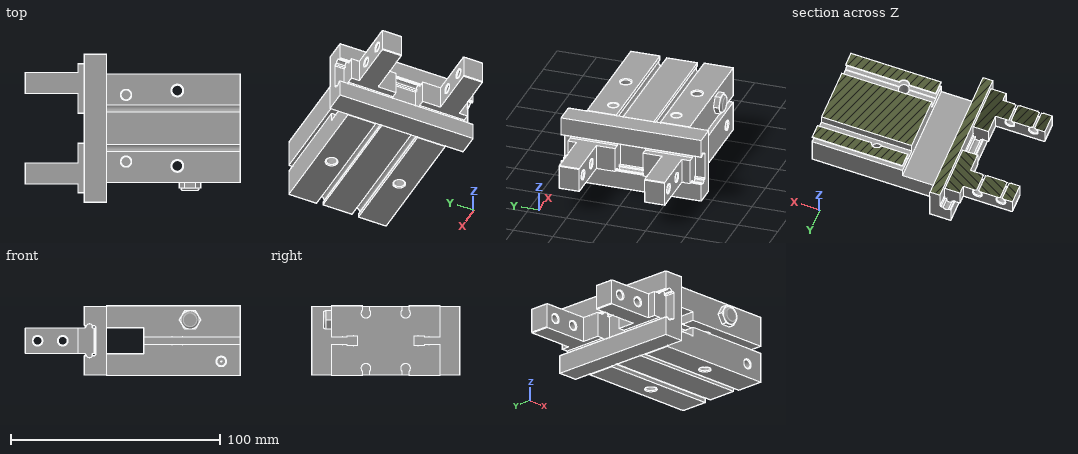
import cadquery as cq
import math


total_length = 103.0
flange_front = 25.2
rail_front = 28.2
body_front = 39.0
body_length = total_length - body_front

rail_width = 71.0
rail_height = 32.9
channel_height = 14.2
channel_end = 33.8
channel_corner_chamfer = 0.5
channel_lip_chamfer = 0.3

bead_x = 30.8
bead_z = 6.7
bead_radius = 1.4
bead_contact_z = channel_height / 2
bead_contact_x = bead_x - math.sqrt(bead_radius**2 - (bead_contact_z - bead_z) ** 2)

body_width = 51.9
body_height = 33.5
window_end = 56.6
window_height = 12.4
side_slot_height = 3.6
side_slot_depth = 12.4
side_slot_lip = 7.3
side_slot_inner_height = 4.6
strip_drop = 0.4

groove_y = 9.5
groove_neck = 3.4
groove_radius = 2.3
groove_center_depth = 3.6

mount_hole_x = 72.8
mount_hole_y = 18.0
mount_hole_diameter = 5.2
mount_hole_rim = 6.1
dowel_x = 48.3
dowel_y = 16.0
dowel_rim = 5.4
dowel_recess_depth = 0.3
port_x = 93.8
port_z = -9.9
thread_diameter = 4.2
thread_rim = 5.0
port_depth = 8.2
fine_bore_diameter = 0.5
fine_bore_depth = 2.1

plug_x = 78.9
plug_z = 10.0
plug_across_flats = 9.0
plug_hex_height = 2.7
plug_cap_diameter = 8.8
plug_cap_height = 1.2
plug_cap_round = 1.1

finger_pitch = 43.3
finger_width = 10.1
finger_height = 12.4
finger_chamfer = 0.3
finger_end = 33.2
flange_outer = 30.9
flange_inner = 7.1
bead_ramp_x = 28.5
bead_back_x = bead_x + bead_radius
finger_hole_stations = (6.0, 18.0)


def block(x_start, x_end, width, height):
    """Box between two X stations, centred on Y = 0 and Z = 0."""
    return cq.Workplane("XY").box(x_end - x_start, width, height).translate(((x_start + x_end) / 2, 0, 0))


def countersunk_cutter(diameter, rim_diameter, depth):
    """Hole cutter that starts at Z = 0, goes down to -depth and has a 45 degree rim."""
    rim_depth = (rim_diameter - diameter) / 2
    outline = [(0, 0), (rim_diameter / 2, 0), (diameter / 2, -rim_depth), (diameter / 2, -depth), (0, -depth)]
    return (
        cq.Workplane("XZ")
        .polyline(outline)
        .close()
        .revolve(360, (0, 0), (0, 1))
    )


def through_hole_cutter(diameter, rim_diameter, length):
    """Hole cutter along Z, centred on Z = 0, with a 45 degree rim at both ends."""
    upper = countersunk_cutter(diameter, rim_diameter, length / 2).translate((0, 0, length / 2))
    return upper.union(upper.mirror("XY"))


def make_rail():
    """Guide rail with the channel and the two bead grooves."""
    rail = block(rail_front, body_front, rail_width, rail_height)
    half_height = channel_height / 2
    half_channel = (
        cq.Workplane("XZ")
        .moveTo(rail_front, 0)
        .lineTo(rail_front, half_height + channel_lip_chamfer)
        .lineTo(rail_front + channel_lip_chamfer, half_height)
        .lineTo(channel_end - channel_corner_chamfer, half_height)
        .lineTo(channel_end, half_height - channel_corner_chamfer)
        .lineTo(channel_end, 0)
        .close()
        .extrude(rail_width / 2, both=True)
    )
    channel = half_channel.union(half_channel.mirror("XY"))
    rail = rail.cut(channel)
    for side in (-1, 1):
        groove = (
            cq.Workplane("XZ")
            .center(bead_x, side * bead_z)
            .circle(bead_radius)
            .extrude(rail_width / 2, both=True)
        )
        rail = rail.cut(groove)
    return rail


def make_sensor_groove():
    """Cutter for one sensor groove in the top face, centred on Y = 0."""
    top = body_height / 2
    neck = block(body_front, total_length, groove_neck, groove_center_depth)
    neck = neck.translate((0, 0, top - groove_center_depth / 2))
    channel = (
        cq.Workplane("YZ", origin=(body_front, 0, top - groove_center_depth))
        .circle(groove_radius)
        .extrude(body_length)
    )
    return neck.union(channel)


def make_port():
    """Cutter for the port in the -Y side, with a fine bore in its flat bottom."""
    fine_bore = cq.Workplane("XY").circle(fine_bore_diameter / 2).extrude(-port_depth - fine_bore_depth)
    cutter = countersunk_cutter(thread_diameter, thread_rim, port_depth).union(fine_bore)
    return cutter.rotate((0, 0, 0), (1, 0, 0), 90).translate((port_x, -body_width / 2, port_z))


def make_plug():
    """Hexagonal plug with a rounded cap on the -Y side."""
    corner_diameter = plug_across_flats / math.cos(math.pi / 6)
    return (
        cq.Workplane("XZ", origin=(plug_x, -body_width / 2, plug_z))
        .polygon(6, corner_diameter)
        .extrude(plug_hex_height)
        .faces("<Y")
        .workplane(centerOption="CenterOfBoundBox")
        .circle(plug_cap_diameter / 2)
        .extrude(plug_cap_height)
        .faces("<Y")
        .edges()
        .fillet(plug_cap_round)
    )


def make_body():
    """Cylinder body behind the rail."""
    body = block(body_front, total_length, body_width, body_height)

    relief = block(body_front, total_length, 2 * groove_y, strip_drop)
    groove = make_sensor_groove()
    for side in (-1, 1):
        body = body.cut(relief.translate((0, 0, side * (body_height - strip_drop) / 2)))
        upper_groove = groove.translate((0, side * groove_y, 0))
        body = body.cut(upper_groove).cut(upper_groove.mirror("XY"))

    body = body.cut(block(body_front, window_end, body_width, window_height))
    inner_depth = side_slot_depth - side_slot_lip
    mouth = block(window_end, total_length, side_slot_lip, side_slot_height)
    inner = block(window_end, total_length, inner_depth, side_slot_inner_height)
    mouth_y = (body_width - side_slot_lip) / 2
    inner_y = (body_width - inner_depth) / 2 - side_slot_lip
    for side in (-1, 1):
        body = body.cut(mouth.translate((0, side * mouth_y, 0)))
        body = body.cut(inner.translate((0, side * inner_y, 0)))

    mount_hole = through_hole_cutter(mount_hole_diameter, mount_hole_rim, body_height)
    dowel_recess = cq.Workplane("XY").circle(dowel_rim / 2).extrude(-dowel_recess_depth, taper=45)
    for side in (-1, 1):
        body = body.cut(mount_hole.translate((mount_hole_x, side * mount_hole_y, 0)))
        body = body.cut(dowel_recess.translate((dowel_x, side * dowel_y, body_height / 2)))
    return body.cut(make_port())


def make_housing():
    """Rail, body and plug as one solid."""
    return make_rail().union(make_body()).union(make_plug())


def make_finger():
    """Finger on the +Y side: a bar and a flange with a guide bead above and below."""
    half_height = finger_height / 2
    flange_width = flange_outer - flange_inner
    half_profile = (
        cq.Workplane("XZ", origin=(0, flange_outer, 0))
        .moveTo(flange_front, 0)
        .lineTo(flange_front, half_height)
        .lineTo(bead_ramp_x, half_height)
        .lineTo(bead_contact_x, bead_contact_z)
        .threePointArc((bead_x, bead_z + bead_radius), (bead_back_x, bead_z))
        .lineTo(bead_back_x, half_height)
        .lineTo(finger_end, half_height)
        .lineTo(finger_end, 0)
        .close()
        .extrude(flange_width)
    )
    flange = half_profile.union(half_profile.mirror("XY"))

    bar = block(0, flange_front, finger_width, finger_height)
    bar = bar.faces("<X").edges("|Y").chamfer(finger_chamfer)
    hole = through_hole_cutter(thread_diameter, thread_rim, finger_width).rotate((0, 0, 0), (1, 0, 0), 90)
    for station in finger_hole_stations:
        bar = bar.cut(hole.translate((station, 0, 0)))
    return bar.translate((0, finger_pitch / 2, 0)).union(flange)


housing = make_housing()
finger = make_finger()
fingers = []
for turn in (0, 180):
    fingers.append(finger.rotate((0, 0, 0), (1, 0, 0), turn))

result = cq.Compound.makeCompound([housing.val(), *[item.val() for item in fingers]])